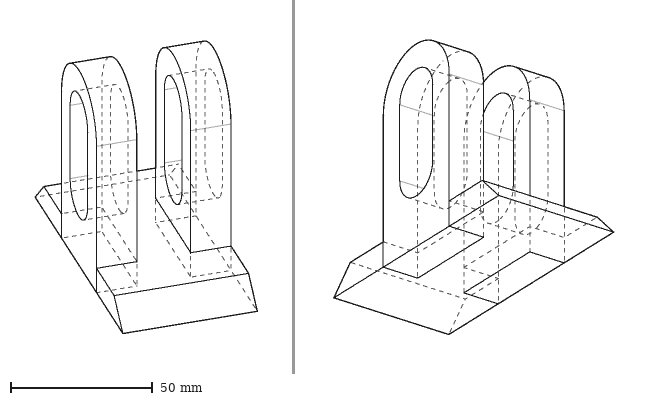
import cadquery as cq

base_length = 100.0
base_width = 50.0
base_height = 10.0
end_slope_run = 10.0

lug_width = 40.0
lug_thickness = 15.0
lug_top = 80.0
lug_radius = lug_width / 2
lug_arc_z = lug_top - lug_radius
lug_offset_y = (base_width - lug_thickness) / 2
lug_centers_y = (-lug_offset_y, lug_offset_y)

slot_width = 20.0
slot_length = 50.0
slot_center_z = lug_arc_z - (slot_length - slot_width) / 2


def make_slab():
    """Trapezoidal slab, centred on X and Y, standing on Z = 0."""
    half_bottom = base_length / 2
    half_top = half_bottom - end_slope_run
    return (
        cq.Workplane("XZ")
        .moveTo(-half_bottom, 0)
        .lineTo(half_bottom, 0)
        .lineTo(half_top, base_height)
        .lineTo(-half_top, base_height)
        .close()
        .extrude(base_width / 2, both=True)
    )


def make_notch(center_y):
    """Block of space that the foot of a lug fills, through the full height of the slab."""
    return (
        cq.Workplane("XY", origin=(0, center_y, 0))
        .rect(lug_width, lug_thickness)
        .extrude(base_height)
    )


def make_base():
    """Slab with one notch for each lug."""
    slab = make_slab()
    for center_y in lug_centers_y:
        slab = slab.cut(make_notch(center_y))
    return slab


def make_lug(center_y):
    """Slotted round-topped plate reaching down to the underside of the base, centred at center_y."""
    front = cq.Workplane("XZ", origin=(0, center_y, 0))
    plate = (
        front.moveTo(-lug_radius, 0)
        .lineTo(lug_radius, 0)
        .lineTo(lug_radius, lug_arc_z)
        .threePointArc((0, lug_top), (-lug_radius, lug_arc_z))
        .close()
        .extrude(lug_thickness / 2, both=True)
    )
    slot = (
        front.center(0, slot_center_z)
        .slot2D(slot_length, slot_width, 90)
        .extrude(lug_thickness / 2, both=True)
    )
    return plate.cut(slot)


base = make_base()
lugs = [make_lug(center_y) for center_y in lug_centers_y]

result = cq.Compound.makeCompound([base.val(), *[lug.val() for lug in lugs]])